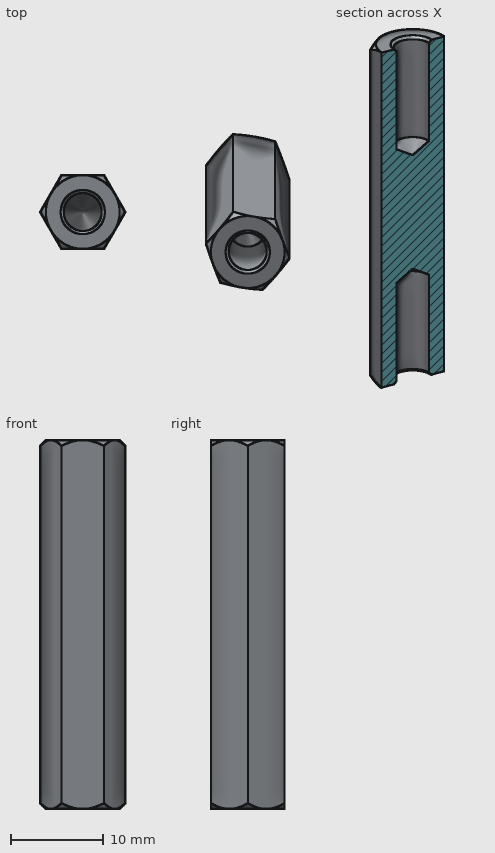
import cadquery as cq
import math

length = 40.0
across_flats = 8.0
across_corners = across_flats / math.cos(math.radians(30))

end_face_diameter = across_flats
corner_chamfer_angle = 45.0

hole_diameter = 4.1
hole_depth = 12.0
drill_point_angle = 120.0
countersink_diameter = 4.8
countersink_angle = 90.0


def cone_height(large_diameter, small_diameter, full_angle):
    """Axial height of a cone between two diameters."""
    return (large_diameter - small_diameter) / 2 / math.tan(math.radians(full_angle / 2))


def revolved(profile):
    """Solid turned about Z from (radius, z) points."""
    return cq.Workplane("XZ").polyline(profile).close().revolve(360, (0, 0), (0, 1))


def hex_bar():
    return cq.Workplane("XY").polygon(6, across_corners).extrude(length)


def chamfer_envelope():
    """Cylinder through the hexagon corners with both ends coned down."""
    corner_radius = across_corners / 2
    end_radius = end_face_diameter / 2
    chamfer_height = (corner_radius - end_radius) * math.tan(math.radians(corner_chamfer_angle))
    return revolved([
        (0, 0),
        (end_radius, 0),
        (corner_radius, chamfer_height),
        (corner_radius, length - chamfer_height),
        (end_radius, length),
        (0, length),
    ])


def top_hole():
    """Countersunk blind hole with a conical drill point."""
    hole_radius = hole_diameter / 2
    countersink_depth = cone_height(countersink_diameter, hole_diameter, countersink_angle)
    point_height = cone_height(hole_diameter, 0, drill_point_angle)
    hole_bottom = length - hole_depth
    return revolved([
        (0, length),
        (countersink_diameter / 2, length),
        (hole_radius, length - countersink_depth),
        (hole_radius, hole_bottom),
        (0, hole_bottom - point_height),
    ])


hole = top_hole()
bottom_hole = hole.mirror("XY", (0, 0, length / 2))
result = hex_bar().intersect(chamfer_envelope()).cut(hole).cut(bottom_hole)